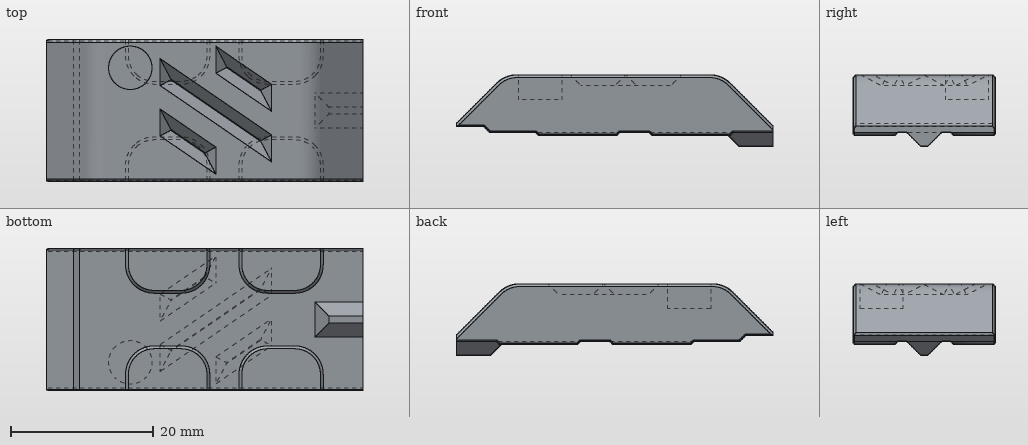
import cadquery as cq
import math

LENGTH = 44.55
WIDTH = 20.0
TOTAL_HEIGHT = 10.05
KEY_DROP = 1.55
FOOT_HEIGHT = 0.4
TOP_Z = TOTAL_HEIGHT - KEY_DROP
LEFT_SLOPE = 6.85
RIGHT_SLOPE = 7.2
TIP_THICKNESS = 0.4
LEDGE_LENGTH = 3.85
CORNER_ROUND = 4.0
TOP_CHAMFER = 0.4
BOTTOM_CHAMFER = 0.2
SIDE_Y = WIDTH / 2
TIP_Z = TOP_Z - LEFT_SLOPE - TIP_THICKNESS

FOOT_LENGTH = 11.85
FOOT_CENTRES_X = (17.05, 33.0)
FOOT_INNER_Y = 3.7
FOOT_ROUND = 4.0

KEY_LENGTH = 4.8
KEY_TIP_WIDTH = 1.0

HOLE_DIAMETER = 6.1
HOLE_DEPTH = 3.47
HOLE_CENTRE = (11.8, 6.0)

GROOVE_ANGLE = 34.4
GROOVE_OPENING = 3.8
GROOVE_FLOOR_WIDTH = 0.1
GROOVE_LEFT_X = 16.0
GROOVE_RUN = 7.85
LONG_GROOVE_Y = 7.3
UPPER_GROOVE_Y = 9.05
LOWER_GROOVE_Y = 0.22


def foot_profile():
    """Bottom outline of the side, from the left foot to the right foot."""
    points = []
    half = FOOT_LENGTH / 2
    for x in FOOT_CENTRES_X:
        points += [
            (x - half, FOOT_HEIGHT),
            (x - half + FOOT_HEIGHT, 0),
            (x + half - FOOT_HEIGHT, 0),
            (x + half, FOOT_HEIGHT),
        ]
    return points


def block():
    """Long block with sloped ends and the foot profile running across its full width."""
    ledge_drop = TIP_Z - FOOT_HEIGHT
    plain = (
        cq.Workplane("XZ", origin=(0, SIDE_Y, 0))
        .moveTo(0, TIP_Z)
        .lineTo(LEDGE_LENGTH, TIP_Z)
        .lineTo(LEDGE_LENGTH + ledge_drop, FOOT_HEIGHT)
        .polyline(foot_profile(), includeCurrent=True)
        .lineTo(LENGTH, FOOT_HEIGHT)
        .lineTo(LENGTH, TOP_Z - RIGHT_SLOPE)
        .lineTo(LENGTH - RIGHT_SLOPE, TOP_Z)
        .lineTo(LEFT_SLOPE, TOP_Z)
        .lineTo(0, TOP_Z - LEFT_SLOPE)
        .close()
        .extrude(WIDTH)
    )
    return plain.faces(">Z").edges("|Y").fillet(CORNER_ROUND)


def chamfer_sides(body):
    """Small chamfer along the underside and a larger one over the top and slopes."""
    inside = 0.05
    middle_z = TOP_Z / 4
    underside = cq.selectors.BoxSelector(
        (-LENGTH, -WIDTH, -TOP_Z), (LENGTH - inside, WIDTH, TIP_Z + inside)
    )
    upper = cq.selectors.BoxSelector((inside, -WIDTH, middle_z), (LENGTH - inside, WIDTH, 2 * TOP_Z))
    for side in ("<Y", ">Y"):
        body = body.faces(side).edges(underside).chamfer(BOTTOM_CHAMFER)
        body = body.faces(side).edges(upper).chamfer(TOP_CHAMFER)
    return body


def foot(x, side):
    """Foot with rounded inner corners, running out past the side (+1 or -1) of the block."""
    centre_y = WIDTH
    depth = 2 * (centre_y - FOOT_INNER_Y)
    outline = cq.Sketch().rect(FOOT_LENGTH, depth).vertices().fillet(FOOT_ROUND)
    return (
        cq.Workplane("XY", origin=(x, side * centre_y, FOOT_HEIGHT))
        .placeSketch(outline)
        .extrude(-FOOT_HEIGHT, taper=45)
    )


def space_between_feet():
    """Layer of the underside that is cleared away around the four feet."""
    slab = cq.Workplane("XY").box(2 * LENGTH, 2 * WIDTH, FOOT_HEIGHT, centered=(True, True, False))
    for x in FOOT_CENTRES_X:
        for side in (-1, 1):
            slab = slab.cut(foot(x, side))
    return slab


def key():
    """Wedge with flanks and nose at 45 degrees, cut flush with the right end."""
    rise = KEY_DROP + FOOT_HEIGHT
    half_tip = KEY_TIP_WIDTH / 2
    half_root = half_tip + rise
    nose_x = LENGTH - KEY_LENGTH
    cross_section = (
        cq.Workplane("YZ")
        .polyline(
            [
                (-half_tip, -KEY_DROP),
                (half_tip, -KEY_DROP),
                (half_root, FOOT_HEIGHT),
                (-half_root, FOOT_HEIGHT),
            ]
        )
        .close()
        .extrude(LENGTH)
    )
    side_outline = (
        cq.Workplane("XZ", origin=(0, SIDE_Y, 0))
        .polyline(
            [
                (nose_x, -KEY_DROP),
                (LENGTH, -KEY_DROP),
                (LENGTH, FOOT_HEIGHT),
                (nose_x - rise, FOOT_HEIGHT),
            ]
        )
        .close()
        .extrude(WIDTH)
    )
    return cross_section.intersect(side_outline)


def hole():
    """Blind hole sunk from the top."""
    return (
        cq.Workplane("XY", origin=(*HOLE_CENTRE, TOP_Z))
        .circle(HOLE_DIAMETER / 2)
        .extrude(-HOLE_DEPTH)
    )


def groove(x, y, run):
    """Groove falling to the right from its upper left corner (x, y)."""
    angle = math.radians(GROOVE_ANGLE)
    fall = run * math.tan(angle)
    depth = (GROOVE_OPENING * math.cos(angle) - GROOVE_FLOOR_WIDTH) / 2
    corners = [
        (x, y),
        (x + run, y - fall),
        (x + run, y - fall - GROOVE_OPENING),
        (x, y - GROOVE_OPENING),
    ]
    return (
        cq.Workplane("XY", origin=(0, 0, TOP_Z)).polyline(corners).close().extrude(-depth, taper=45)
    )


result = chamfer_sides(block())
result = result.cut(space_between_feet()).union(key())
result = result.cut(hole())
result = result.cut(groove(GROOVE_LEFT_X, LONG_GROOVE_Y, 2 * GROOVE_RUN))
result = result.cut(groove(GROOVE_LEFT_X + GROOVE_RUN, UPPER_GROOVE_Y, GROOVE_RUN))
result = result.cut(groove(GROOVE_LEFT_X, LOWER_GROOVE_Y, GROOVE_RUN))